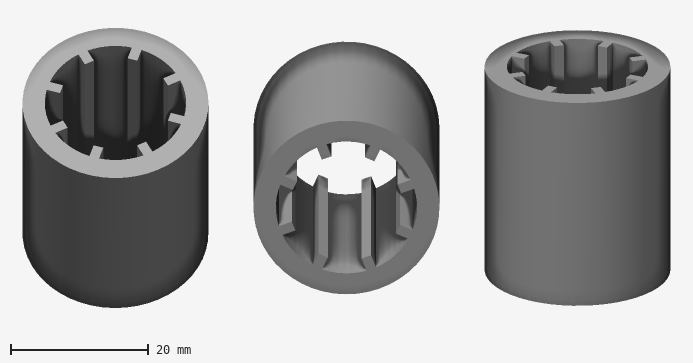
import cadquery as cq

length = 32.0
outer_diameter = 27.0
bore_diameter = 20.5

rib_count = 8
rib_width = 1.47
tip_diameter = 16.4
rib_embed = 0.65


def make_sleeve():
    """Plain round tube standing on the XY plane."""
    return cq.Workplane("XY").circle(outer_diameter / 2).circle(bore_diameter / 2).extrude(length)


def make_rib(angle):
    """One rectangular rib, turned about the sleeve axis by angle degrees."""
    tip_radius = tip_diameter / 2
    radial_size = bore_diameter / 2 + rib_embed - tip_radius
    rib = (
        cq.Workplane("XY")
        .center(tip_radius + radial_size / 2, 0)
        .rect(radial_size, rib_width)
        .extrude(length)
    )
    return rib.rotate((0, 0, 0), (0, 0, 1), angle)


result = make_sleeve()
for index in range(rib_count):
    result = result.union(make_rib(index * 360 / rib_count))